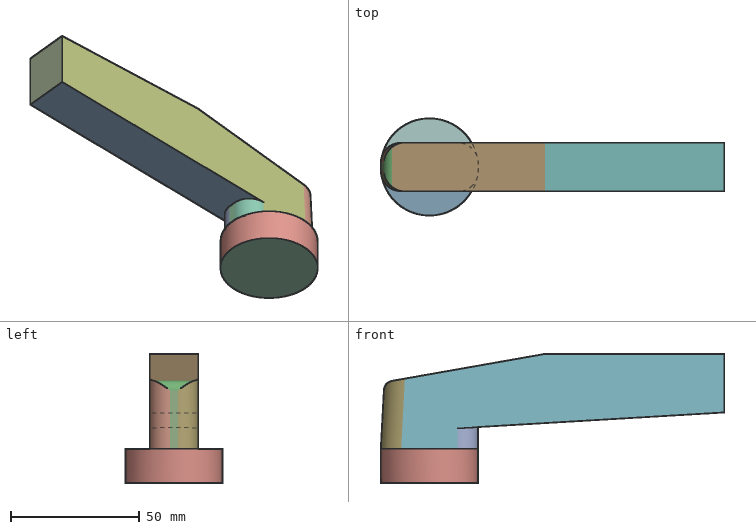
import cadquery as cq
import math


base_diameter = 38.0
base_radius = base_diameter / 2
base_height = 13.3

overall_length = 134.01
overall_height = 50.4
lever_width = 19.0
back_lean = 3.0
top_slope = 10.0
bend_x = 45.0
tip_thickness = 22.9
underside_height = 21.8

neck_corner_radius = 8.0
back_top_radius = 4.0

back_x = -base_radius
neck_front_x = base_radius
tip_x = back_x + overall_length
tip_bottom_z = overall_height - tip_thickness

lean_tangent = math.tan(math.radians(back_lean))
slope_tangent = math.tan(math.radians(top_slope))
top_rise = slope_tangent * (bend_x - back_x)
crown_rise = (overall_height - top_rise - base_height) / (1 - slope_tangent * lean_tangent)
crown_x = back_x + crown_rise * lean_tangent
crown_z = base_height + crown_rise


def make_base():
    return cq.Workplane("XY").circle(base_radius).extrude(base_height)


def make_lever_blank():
    """Sharp-edged neck and arm, extruded evenly to both sides of the XZ plane."""
    side_outline = [
        (back_x, base_height),
        (crown_x, crown_z),
        (bend_x, overall_height),
        (tip_x, overall_height),
        (tip_x, tip_bottom_z),
        (neck_front_x, underside_height),
        (neck_front_x, base_height),
    ]
    return cq.Workplane("XZ").polyline(side_outline).close().extrude(lever_width / 2, both=True)


def make_lever():
    """The blank with rounded neck corners, trimmed to a rounded crown.

    The crown rounding runs straight across the width, so it meets the neck
    corners in a sharp mitre: the two roundings are made apart and intersected.
    """
    blank = make_lever_blank()
    back_direction = cq.Vector(lean_tangent, 0, 1)
    back_corners = cq.selectors.ParallelDirSelector(back_direction)
    neck_middle_z = (base_height + underside_height) / 2
    neck_front = cq.selectors.NearestToPointSelector((neck_front_x, 0, neck_middle_z))
    rounded_neck = (
        blank.edges(back_corners).fillet(neck_corner_radius)
        .faces(neck_front).edges("|Z").fillet(neck_corner_radius)
    )
    crown_edge = cq.selectors.NearestToPointSelector((crown_x, 0, crown_z))
    rounded_crown = blank.edges(crown_edge).fillet(back_top_radius)
    return rounded_neck.intersect(rounded_crown)


result = make_base().union(make_lever())